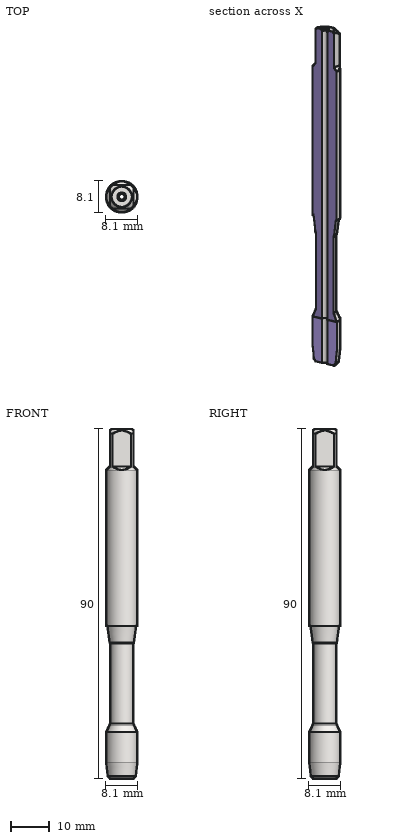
import cadquery as cq

TOTAL_LENGTH = 90.0
TIP_CHAMFER_TOP = 0.7
LEAD_TOP = 4.2
THREAD_TOP = 12.1
COLLAR_TOP = 13.7
COLLAR_FILLET_TOP = 14.2
NECK_TOP = 34.7
TAPER_BOTTOM = 35.0
SHANK_BOTTOM = 39.3
SHANK_TOP = 79.3
SHOULDER_TOP = 80.1
FLAT_BOTTOM = 80.4
END_CHAMFER_BOTTOM = 88.7

THREAD_DIAMETER = 8.1
LEAD_DIAMETER = 7.3
TIP_DIAMETER = 5.9
NECK_DIAMETER = 5.9
COLLAR_SMALL_DIAMETER = 6.5
TAPER_SMALL_DIAMETER = 6.3
TAPER_LARGE_DIAMETER = 7.5
SHANK_DIAMETER = 8.0
DRIVE_CORNER_DIAMETER = 7.7
DRIVE_END_DIAMETER = 5.2

DRIVE_ACROSS_FLATS = 6.1
BORE_DIAMETER = 1.5
COUNTERSINK_DIAMETER = 2.2
COUNTERSINK_DEPTH = 0.5


def turned_body(profile):
    """Revolve (diameter, z) pairs, listed from bottom to top, around a bore along Z."""
    bore_radius = BORE_DIAMETER / 2
    bottom = profile[0][1]
    top = profile[-1][1]
    outer_points = [(diameter / 2, z) for diameter, z in profile]
    points = [(bore_radius, bottom), *outer_points, (bore_radius, top)]
    return cq.Workplane("XZ").polyline(points).close().revolve(360, (0, 0), (0, 1))


def drive_flat_cutter():
    """Material outside the +X flat, ending below in a 45 degree run-out."""
    flat_offset = DRIVE_ACROSS_FLATS / 2
    reach = SHANK_DIAMETER
    run_out = reach - flat_offset
    return (
        cq.Workplane("XZ")
        .moveTo(flat_offset, TOTAL_LENGTH)
        .lineTo(flat_offset, FLAT_BOTTOM)
        .lineTo(reach, FLAT_BOTTOM - run_out)
        .lineTo(reach, TOTAL_LENGTH)
        .close()
        .extrude(SHANK_DIAMETER, both=True)
    )


def countersink_cutter():
    """Cone that widens the bore at the drive end."""
    cone = cq.Solid.makeCone(
        BORE_DIAMETER / 2,
        COUNTERSINK_DIAMETER / 2,
        COUNTERSINK_DEPTH,
        pnt=cq.Vector(0, 0, TOTAL_LENGTH - COUNTERSINK_DEPTH),
    )
    return cq.Workplane(obj=cone)


def make_cutting_head():
    """Threaded end drawn as its plain envelope, with a tapered lead and a tip chamfer."""
    profile = [
        (TIP_DIAMETER, 0),
        (LEAD_DIAMETER, TIP_CHAMFER_TOP),
        (THREAD_DIAMETER, LEAD_TOP),
        (THREAD_DIAMETER, THREAD_TOP),
    ]
    return turned_body(profile)


def make_shank():
    """Collar, neck, taper and shank, with a square drive at the top."""
    profile = [
        (SHANK_DIAMETER, THREAD_TOP),
        (COLLAR_SMALL_DIAMETER, COLLAR_TOP),
        (NECK_DIAMETER, COLLAR_FILLET_TOP),
        (NECK_DIAMETER, NECK_TOP),
        (TAPER_SMALL_DIAMETER, TAPER_BOTTOM),
        (TAPER_LARGE_DIAMETER, SHANK_BOTTOM),
        (SHANK_DIAMETER, SHANK_BOTTOM),
        (SHANK_DIAMETER, SHANK_TOP),
        (DRIVE_CORNER_DIAMETER, SHOULDER_TOP),
        (DRIVE_CORNER_DIAMETER, END_CHAMFER_BOTTOM),
        (DRIVE_END_DIAMETER, TOTAL_LENGTH),
    ]
    shank = turned_body(profile)
    cutter = drive_flat_cutter()
    for angle in (0, 90, 180, 270):
        shank = shank.cut(cutter.rotate((0, 0, 0), (0, 0, 1), angle))
    return shank.cut(countersink_cutter())


cutting_head = make_cutting_head()
shank = make_shank()

result = cq.Compound.makeCompound([cutting_head.val(), shank.val()])